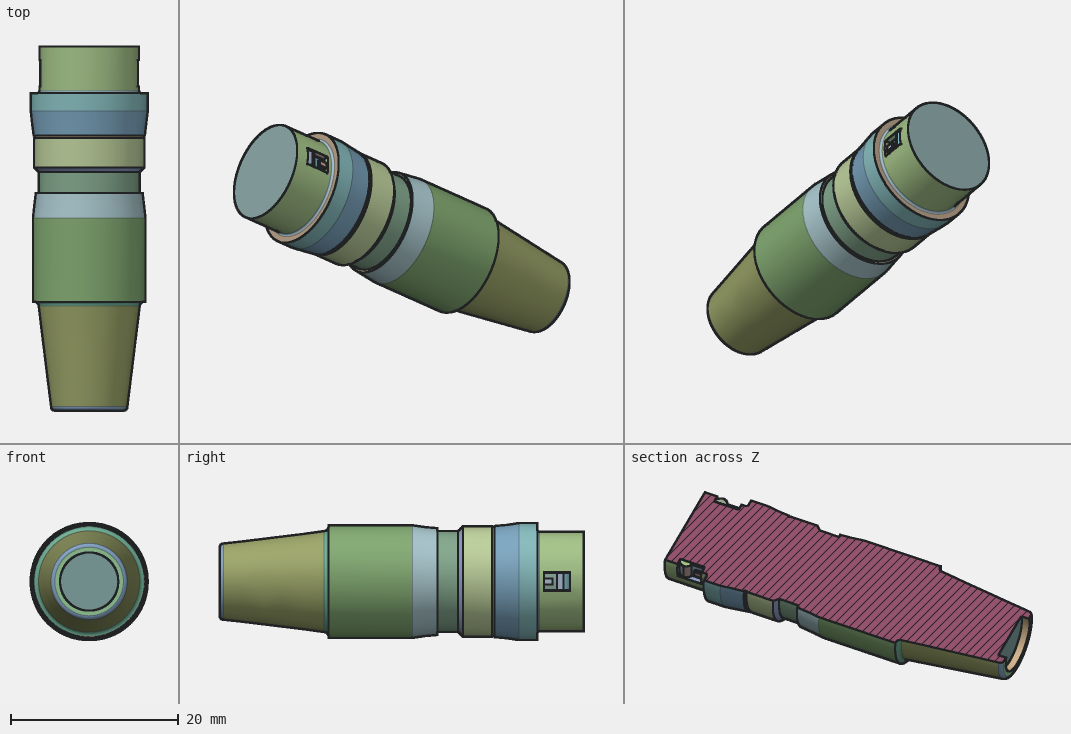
import cadquery as cq
import math

LENGTH = 43.5

NOSE_R = 5.95
COLLAR_R = 7.0
COLLAR_END_R = 6.65
GROOVE_R = 6.52
GRIP_R = 6.6
NECK_R = 6.05
SHOULDER_R = 6.4
BODY_R = 6.75
CONE_START_R = 6.05
CONE_END_R = 4.55

COLLAR_START = 5.55
COLLAR_TAPER = 7.75
COLLAR_END = 10.65
GRIP_START = 10.95
GRIP_END = 14.45
SHOULDER_START = 17.5
BODY_START = 20.5
BODY_END = 30.5

NOSE_FILLET = 0.25
GRIP_CHAMFER = GRIP_R - NECK_R
BODY_FILLET = 0.52
TIP_FILLET = 0.5

RECESS_R = 3.5
RECESS_DEPTH = 1.0

WINDOW_START = 1.65
WINDOW_END = 4.8
WINDOW_WIDTH = 2.25
WINDOW_DEPTH = 0.85

LATCH_GAP = 0.15
LATCH_WIDTH = WINDOW_WIDTH - 2 * LATCH_GAP
TAIL_DEPTH = 0.65
LATCH_CREST = 2.45
LATCH_END = 3.2
LATCH_START_DEPTH = 0.65
LATCH_CREST_DEPTH = 0.15
RAMP_BULGE = 0.15
BACK_BULGE = 0.15
ROOT_OVERLAP = 0.45

KEY_START = 3.75
KEY_WIDTH = 0.75
KEY_R = 5.65


def fillet_middle(center_r, center_y, radius, r_sign, y_sign):
    """Middle point of a quarter arc around (center_r, center_y)."""
    step = radius * math.sqrt(0.5)
    return (center_r + r_sign * step, center_y + y_sign * step)


def turned_body():
    """Revolve the half outline, given as (radius, Y) points, about the Y axis."""
    nose_end = -COLLAR_START + NOSE_FILLET
    cone_start = -BODY_END - BODY_FILLET
    cone_end = -LENGTH + TIP_FILLET
    outline = (
        cq.Workplane("XY")
        .moveTo(0, 0)
        .lineTo(NOSE_R, 0)
        .lineTo(NOSE_R, nose_end)
        .threePointArc(
            fillet_middle(NOSE_R + NOSE_FILLET, nose_end, NOSE_FILLET, -1, -1),
            (NOSE_R + NOSE_FILLET, -COLLAR_START),
        )
        .lineTo(COLLAR_R, -COLLAR_START)
        .lineTo(COLLAR_R, -COLLAR_TAPER)
        .lineTo(COLLAR_END_R, -COLLAR_END)
        .lineTo(GROOVE_R, -COLLAR_END)
        .lineTo(GROOVE_R, -GRIP_START)
        .lineTo(GRIP_R, -GRIP_START)
        .lineTo(GRIP_R, -GRIP_END)
        .lineTo(NECK_R, -GRIP_END - GRIP_CHAMFER)
        .lineTo(NECK_R, -SHOULDER_START)
        .lineTo(SHOULDER_R, -SHOULDER_START)
        .lineTo(BODY_R, -BODY_START)
        .lineTo(BODY_R, -BODY_END)
        .lineTo(CONE_START_R + BODY_FILLET, -BODY_END)
        .threePointArc(
            fillet_middle(CONE_START_R + BODY_FILLET, cone_start, BODY_FILLET, -1, 1),
            (CONE_START_R, cone_start),
        )
        .lineTo(CONE_END_R, cone_end)
        .threePointArc(
            fillet_middle(CONE_END_R - TIP_FILLET, cone_end, TIP_FILLET, 1, -1),
            (CONE_END_R - TIP_FILLET, -LENGTH),
        )
        .lineTo(RECESS_R, -LENGTH)
        .lineTo(RECESS_R, -LENGTH + RECESS_DEPTH)
        .lineTo(0, -LENGTH + RECESS_DEPTH)
        .close()
    )
    return outline.revolve(360, (0, 0, 0), (0, 1, 0))


def ring_block(inner_r, outer_r, start, end, width):
    """Block on the -X side between two radii about Y, from start to end along the plug."""
    ring = (
        cq.Workplane("XZ", origin=(0, -start, 0))
        .circle(outer_r)
        .circle(inner_r)
        .extrude(end - start)
    )
    side = cq.Workplane("XY").box(COLLAR_R, LENGTH, width).translate((-COLLAR_R / 2, -LENGTH / 2, 0))
    return ring.intersect(side)


def bulged_middle(start, end, bulge):
    """Point beside the middle of a chord, pushed out towards -X."""
    return ((start[0] + end[0]) / 2 - bulge, (start[1] + end[1]) / 2)


def latch():
    """Latch hump with a curved ramp and back, its tail and its key, rooted below the window floor."""
    root_r = NOSE_R - WINDOW_DEPTH - ROOT_OVERLAP
    ramp_start = (-NOSE_R + LATCH_START_DEPTH, -WINDOW_START)
    crest = (-NOSE_R + LATCH_CREST_DEPTH, -LATCH_CREST)
    back_end = (-NOSE_R + TAIL_DEPTH, -LATCH_END)
    hump = (
        cq.Workplane("XY", origin=(0, 0, -LATCH_WIDTH / 2))
        .moveTo(-root_r, -WINDOW_START)
        .lineTo(*ramp_start)
        .threePointArc(bulged_middle(ramp_start, crest, RAMP_BULGE), crest)
        .threePointArc(bulged_middle(crest, back_end, BACK_BULGE), back_end)
        .lineTo(-root_r, -LATCH_END)
        .close()
        .extrude(LATCH_WIDTH)
    )
    tail = ring_block(root_r, NOSE_R - TAIL_DEPTH, LATCH_END, WINDOW_END, LATCH_WIDTH)
    key = ring_block(root_r, KEY_R, KEY_START, WINDOW_END, KEY_WIDTH)
    return hump.union(tail).union(key)


window_floor_r = NOSE_R - WINDOW_DEPTH
window_cut = ring_block(window_floor_r, COLLAR_R, WINDOW_START, WINDOW_END, WINDOW_WIDTH)
latch_solid = latch()

result = turned_body()
for angle in (0, 180):
    result = result.cut(window_cut.rotate((0, 0, 0), (0, 1, 0), angle))
    result = result.union(latch_solid.rotate((0, 0, 0), (0, 1, 0), angle))